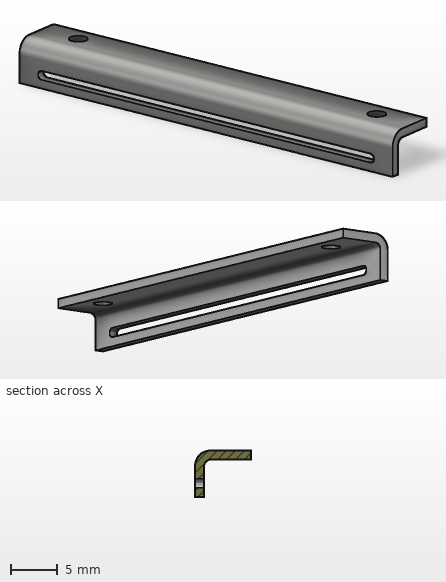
import cadquery as cq

length = 50.0
depth = 6.0
height = 5.0
thickness = 1.0

inner_radius = 0.7
outer_radius = inner_radius + thickness

hole_diameter = 2.0
hole_spacing = 40.0
hole_from_rear_edge = 2.2

slot_length = 45.0
slot_width = 1.0
slot_from_bottom_edge = 1.5

hole_y = depth - hole_from_rear_edge


def angle_strip():
    """L-shaped strip with concentric inner and outer bend radii."""
    horizontal_leg = cq.Workplane("XY").box(length, depth, thickness, centered=(True, False, False))
    horizontal_leg = horizontal_leg.translate((0, 0, height - thickness))
    vertical_leg = cq.Workplane("XY").box(length, thickness, height, centered=(True, False, False))
    strip = horizontal_leg.union(vertical_leg)
    outer_corner = cq.selectors.NearestToPointSelector((0, 0, height))
    strip = strip.edges(outer_corner).fillet(outer_radius)
    inner_corner = cq.selectors.NearestToPointSelector((0, thickness, height - thickness))
    return strip.edges(inner_corner).fillet(inner_radius)


def mounting_holes():
    """Cutters for the two round holes in the horizontal leg."""
    return (
        cq.Workplane("XY", origin=(0, hole_y, height - thickness))
        .rarray(hole_spacing, 1, 2, 1)
        .circle(hole_diameter / 2)
        .extrude(thickness)
    )


def adjustment_slot():
    """Cutter for the round-ended slot in the vertical leg."""
    return (
        cq.Workplane("XZ", origin=(0, 0, slot_from_bottom_edge))
        .slot2D(slot_length, slot_width)
        .extrude(-thickness)
    )


result = angle_strip().cut(mounting_holes()).cut(adjustment_slot())